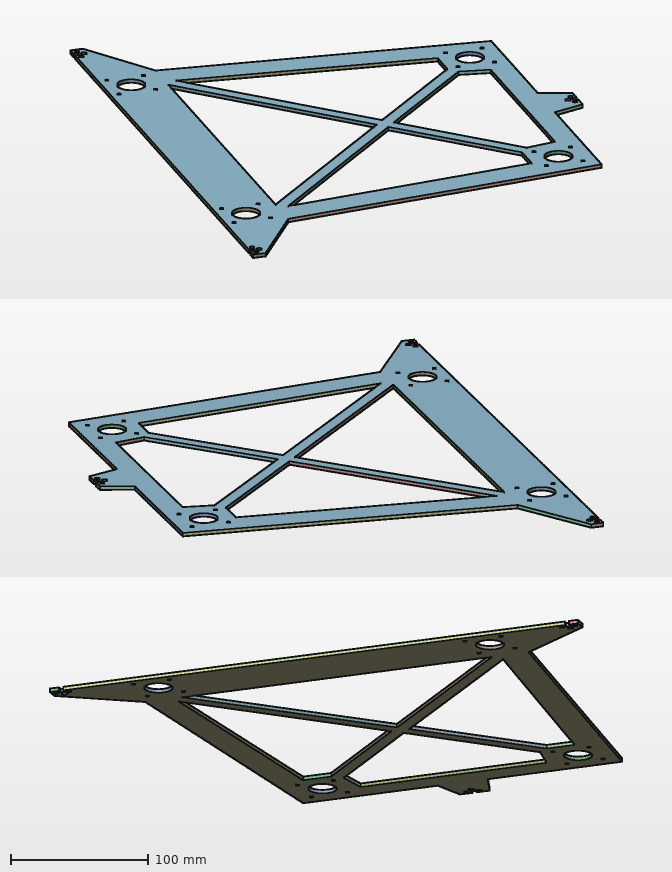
import cadquery as cq

base_width = 413.5
plate_height = 320.0
thickness = 2.8

half_base = base_width / 2
foot_height = 9.5
shoulder_half_width = 150.0
shoulder_height = 46.5
frame_top_half_width = 125.0
frame_top = 296.0
tab_base_half_width = 19.5
tab_top_half_width = 11.5

brace_crossing_y = 172.0
crossing_half_width = 7.0
crossing_half_height = 6.5
top_window_top = 278.0
top_window_top_half_width = 73.0
top_window_side_bottom = 255.0
top_window_side_half_width = 77.0
side_window_top = 248.5
side_window_top_inner_x = 84.5
side_window_top_outer_x = 106.5
side_window_bottom = 54.0
side_window_bottom_x = 127.0
bottom_window_half_width = 121.0

bore_diameter = 20.5
screw_diameter = 2.52
screw_spacing = 28.0
upper_bore_x = 100.0
upper_bore_y = 271.5
lower_bore_x = 130.0
lower_bore_y = 20.5

mount_hole_diameter = 4.0
mount_side_diameter = 3.4
mount_hole_depth = 7.5
mount_side_depth = 3.7
mount_side_offset = 5.0
notch_width = 3.4
notch_depth = 3.7
foot_mount_x = half_base - 8.5


def mirrored(right_points):
    """Close a right-hand chain of points with its mirror image across X = 0."""
    return right_points + [(-x, y) for x, y in reversed(right_points) if x != 0]


def prism(points):
    return cq.Workplane("XY").polyline(points).close().extrude(thickness)


def cylinders(points, diameter):
    return cq.Workplane("XY").pushPoints(points).circle(diameter / 2).extrude(thickness)


def cut_mount(plate, x, edge_y, inward):
    """Cut one mounting pattern; inward is the Y direction (+1 or -1) into the plate."""
    side_y = edge_y + inward * mount_side_depth
    side_points = [(x + side * mount_side_offset, side_y) for side in (-1, 1)]
    notch = (
        cq.Workplane("XY")
        .center(x, edge_y)
        .rect(notch_width, 2 * notch_depth)
        .extrude(thickness)
    )
    rear_hole = cylinders([(x, edge_y + inward * mount_hole_depth)], mount_hole_diameter)
    return plate.cut(notch).cut(rear_hole).cut(cylinders(side_points, mount_side_diameter))


result = prism(mirrored([
    (half_base, 0),
    (half_base, foot_height),
    (shoulder_half_width, shoulder_height),
    (frame_top_half_width, frame_top),
    (tab_base_half_width, frame_top),
    (tab_top_half_width, plate_height),
]))

result = result.cut(prism(mirrored([
    (0, brace_crossing_y + crossing_half_height),
    (top_window_side_half_width, top_window_side_bottom),
    (top_window_top_half_width, top_window_top),
])))
result = result.cut(prism(mirrored([
    (0, brace_crossing_y - crossing_half_height),
    (bottom_window_half_width, shoulder_height),
])))

for side in (-1, 1):
    result = result.cut(prism([
        (side * crossing_half_width, brace_crossing_y),
        (side * side_window_top_inner_x, side_window_top),
        (side * side_window_top_outer_x, side_window_top),
        (side * side_window_bottom_x, side_window_bottom),
    ]))

for bore_x, bore_y in ((upper_bore_x, upper_bore_y), (lower_bore_x, lower_bore_y)):
    for side in (-1, 1):
        centre = (side * bore_x, bore_y)
        screws = (
            cq.Workplane("XY")
            .center(*centre)
            .rect(screw_spacing, screw_spacing, forConstruction=True)
            .vertices()
            .circle(screw_diameter / 2)
            .extrude(thickness)
        )
        result = result.cut(cylinders([centre], bore_diameter)).cut(screws)

for side in (-1, 1):
    result = cut_mount(result, side * foot_mount_x, 0, 1)
result = cut_mount(result, 0, plate_height, -1)